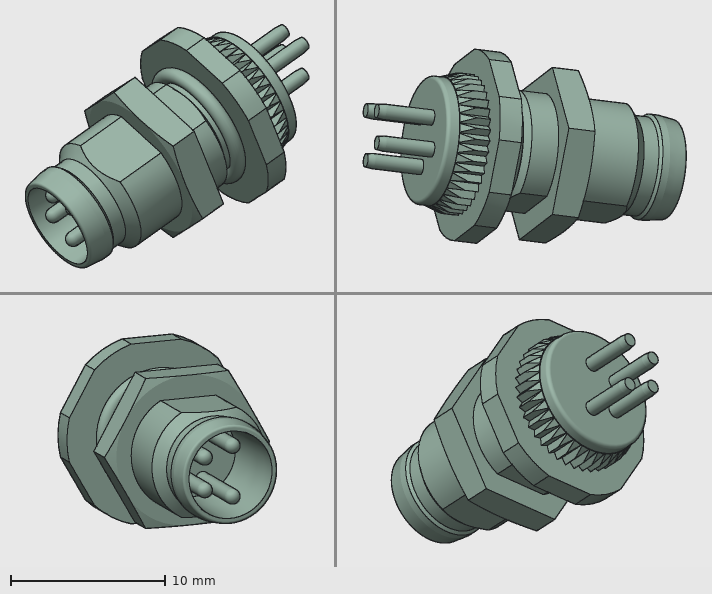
import cadquery as cq
import math

TOTAL_LENGTH = 20.9

RIM_ROUND = 0.17
RIM_RADIUS = 3.25
LIP_RADIUS = 6.9 / 2
LIP_TAPER_END = 1.23
LIP_END = 1.75
GROOVE_RADIUS = 6.5 / 2
GROOVE_START = LIP_END + (LIP_RADIUS - GROOVE_RADIUS)
GROOVE_END = 2.99

BARREL_RADIUS = 4.0
BARREL_START = 3.68
BARREL_END = 11.1
FLAT_DISTANCE = 3.5
NECK_RADIUS = 6.7 / 2
NECK_CONE_ANGLE = 30
NECK_START = BARREL_END + (BARREL_RADIUS - NECK_RADIUS) * math.tan(math.radians(NECK_CONE_ANGLE))

HEX_START = 7.21
HEX_END = 9.24
HEX_ACROSS_FLATS = 10.01
HEX_CHAMFER_ANGLE = 15

FLANGE_START = 12.67
FLANGE_END = 14.21
FLANGE_ACROSS_FLATS = 12.0
FLANGE_DIAMETER = 12.5

KNURL_TEETH = 40
KNURL_RADIUS = 4.6
KNURL_TAPER_START = 15.15
KNURL_TAPER_END = 16.22
KNURL_END_RADIUS = 4.25
COLLAR_RADIUS = 8.4 / 2
COLLAR_END = 17.05
COLLAR_ROUND = 0.25

SOCKET_MOUTH_RADIUS = 5.8 / 2
SOCKET_FLOOR_RADIUS = 2.8
SOCKET_DEPTH = 6.0

PIN_RADIUS = 1.0 / 2
PIN_FRONT = 0.4
PIN_TAIL_TIP_RADIUS = 0.44
PIN_TAIL_TAPER = 0.5
PIN_CENTERS = [(x, side * z) for x, z in [(-1.45, 1.09), (0.5, 1.7)] for side in (1, -1)]

SEAL_SECTION_RADIUS = 1.0 / 2


def turned(points, center_x=0, center_z=0):
    """Solid of revolution about a line parallel to Y, from (radius, y) points."""
    profile = cq.Workplane("XY").polyline(points).close()
    return profile.revolve(360, (0, 0), (0, 1)).translate((center_x, 0, center_z))


def cylinder(radius, start, end):
    return cq.Workplane("XZ", origin=(0, start, 0)).circle(radius).extrude(start - end)


def hexagon(across_flats, start, end):
    """Hexagonal prism along Y, with two corners on the X axis."""
    corner_diameter = across_flats / math.cos(math.pi / 6)
    return cq.Workplane("XZ", origin=(0, start, 0)).polygon(6, corner_diameter).extrude(start - end)


def nose_and_barrel():
    """Turned front part: tapered lip, groove, barrel with flats, and neck."""
    nose = turned([
        (0, 0),
        (RIM_RADIUS, 0),
        (LIP_RADIUS, LIP_TAPER_END),
        (LIP_RADIUS, LIP_END),
        (GROOVE_RADIUS, GROOVE_START),
        (GROOVE_RADIUS, GROOVE_END),
        (0, GROOVE_END),
    ]).faces("<Y").edges().fillet(RIM_ROUND)
    barrel = turned([
        (0, GROOVE_END),
        (GROOVE_RADIUS, GROOVE_END),
        (BARREL_RADIUS, BARREL_START),
        (BARREL_RADIUS, BARREL_END),
        (NECK_RADIUS, NECK_START),
        (NECK_RADIUS, FLANGE_START),
        (0, FLANGE_START),
    ])
    between_flats = cq.Workplane("XY").box(
        2 * BARREL_RADIUS, 2 * FLANGE_START, 2 * FLAT_DISTANCE
    )
    return nose.union(barrel.intersect(between_flats))


def hex_collar():
    """Hexagon whose front corners are cut by a shallow cone."""
    face_radius = HEX_ACROSS_FLATS / 2
    thickness = HEX_END - HEX_START
    cone_radius = face_radius + thickness / math.tan(math.radians(HEX_CHAMFER_ANGLE))
    chamfer_cone = turned([
        (0, HEX_START),
        (face_radius, HEX_START),
        (cone_radius, HEX_END),
        (0, HEX_END),
    ])
    return hexagon(HEX_ACROSS_FLATS, HEX_START, HEX_END).intersect(chamfer_cone)


def flange():
    disc = cylinder(FLANGE_DIAMETER / 2, FLANGE_START, FLANGE_END)
    return hexagon(FLANGE_ACROSS_FLATS, FLANGE_START, FLANGE_END).intersect(disc)


def knurl():
    """Ring of sharp V teeth, tapered at the rear; a valley faces +Z."""
    outline = []
    for index in range(2 * KNURL_TEETH):
        radius = KNURL_RADIUS if index % 2 else COLLAR_RADIUS
        angle = math.pi / 2 + index * math.pi / KNURL_TEETH
        outline.append((radius * math.cos(angle), radius * math.sin(angle)))
    teeth = (
        cq.Workplane("XZ", origin=(0, FLANGE_END, 0))
        .polyline(outline)
        .close()
        .extrude(FLANGE_END - KNURL_TAPER_END)
    )
    envelope = turned([
        (0, FLANGE_END),
        (KNURL_RADIUS, FLANGE_END),
        (KNURL_RADIUS, KNURL_TAPER_START),
        (KNURL_END_RADIUS, KNURL_TAPER_END),
        (0, KNURL_TAPER_END),
    ])
    return teeth.intersect(envelope)


def rear_collar():
    collar = cylinder(COLLAR_RADIUS, KNURL_TAPER_END, COLLAR_END)
    return collar.faces(">Y").edges().fillet(COLLAR_ROUND)


def socket():
    """Volume of the tapered mating socket."""
    return turned([
        (0, 0),
        (SOCKET_MOUTH_RADIUS, 0),
        (SOCKET_FLOOR_RADIUS, SOCKET_DEPTH),
        (0, SOCKET_DEPTH),
    ])


def contact_pin(center_x, center_z):
    """Pin with a hemispherical front and a tapered tail."""
    shaft = turned([
        (0, PIN_FRONT + PIN_RADIUS),
        (PIN_RADIUS, PIN_FRONT + PIN_RADIUS),
        (PIN_RADIUS, TOTAL_LENGTH - PIN_TAIL_TAPER),
        (PIN_TAIL_TIP_RADIUS, TOTAL_LENGTH),
        (0, TOTAL_LENGTH),
    ], center_x, center_z)
    tip = cq.Workplane("XY", origin=(center_x, PIN_FRONT + PIN_RADIUS, center_z)).sphere(PIN_RADIUS)
    return shaft.union(tip)


def build_connector():
    body = nose_and_barrel()
    for section in (hex_collar(), flange(), knurl(), rear_collar()):
        body = body.union(section)
    body = body.cut(socket())
    for center_x, center_z in PIN_CENTERS:
        body = body.union(contact_pin(center_x, center_z))
    return body


def build_seal():
    """O-ring touching the neck and the front face of the flange."""
    center = cq.Vector(0, FLANGE_START - SEAL_SECTION_RADIUS, 0)
    ring_radius = NECK_RADIUS + SEAL_SECTION_RADIUS
    return cq.Solid.makeTorus(ring_radius, SEAL_SECTION_RADIUS, center, cq.Vector(0, 1, 0))


connector = build_connector()
seal = build_seal()

result = cq.Compound.makeCompound([connector.val(), seal])